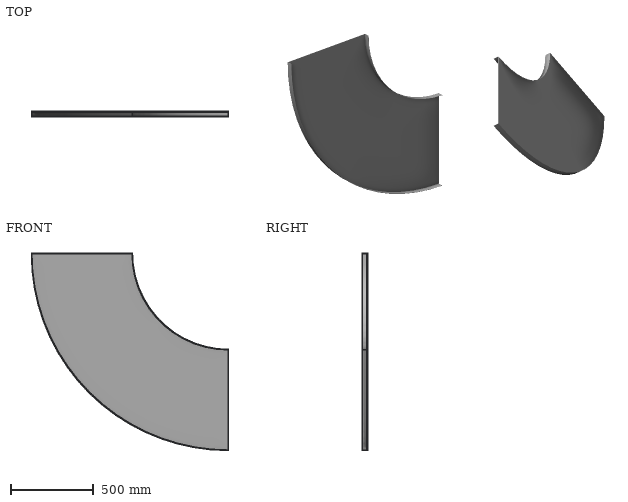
import cadquery as cq

outer_radius = 1190.0
inner_radius = 580.0
total_depth = 35.0
sheet_thickness = 1.5
lip_depth = 7.0

rim_height = total_depth - lip_depth
lip_height = lip_depth - sheet_thickness
wall_inner_radii = (inner_radius, outer_radius - sheet_thickness)
mid_direction = 0.5 ** 0.5


def quarter_ring(small_radius, large_radius, front_y, depth):
    """Quarter ring in the -X, -Z quadrant, extending from front_y towards +Y."""
    return (
        cq.Workplane("XZ", origin=(0, front_y, 0))
        .moveTo(-large_radius, 0)
        .threePointArc(
            (-large_radius * mid_direction, -large_radius * mid_direction),
            (0, -large_radius),
        )
        .lineTo(0, -small_radius)
        .threePointArc(
            (-small_radius * mid_direction, -small_radius * mid_direction),
            (-small_radius, 0),
        )
        .close()
        .extrude(-depth)
    )


def make_wall(small_radius, front_y, depth):
    """Curved wall one sheet thick."""
    return quarter_ring(small_radius, small_radius + sheet_thickness, front_y, depth)


def make_pan():
    """Curved sheet floor with a low upturned lip along each curved edge."""
    floor_y = total_depth - sheet_thickness
    pan = quarter_ring(inner_radius, outer_radius, floor_y, sheet_thickness)
    for radius in wall_inner_radii:
        pan = pan.union(make_wall(radius, rim_height, lip_height))
    return pan


def make_rim(small_radius):
    """Thin curved wall continuing a lip of the pan forward."""
    return make_wall(small_radius, 0, rim_height)


pan = make_pan()
rims = [make_rim(radius) for radius in wall_inner_radii]

result = cq.Compound.makeCompound([pan.val(), *[rim.val() for rim in rims]])